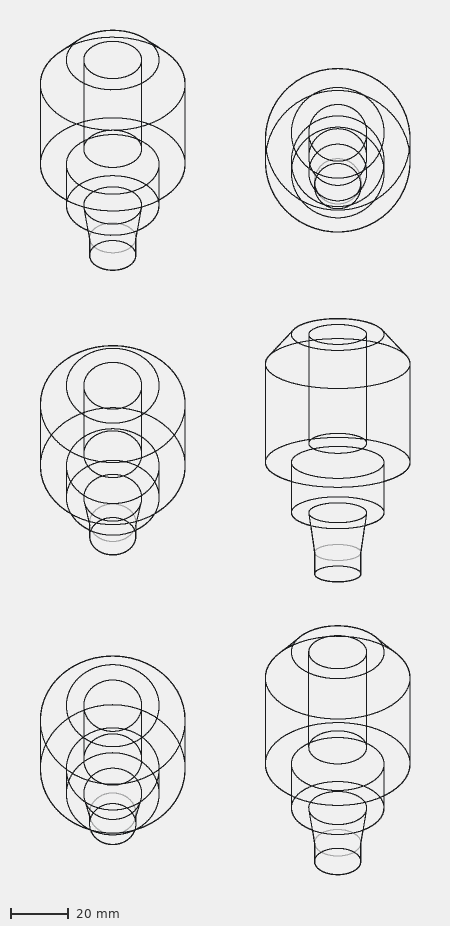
import cadquery as cq

head_diameter = 50.0
collar_diameter = 32.0
neck_diameter = 20.0
tip_diameter = 16.0
bore_diameter = 20.0

tip_length = 7.9
neck_length = 14.6
collar_length = 18.5
total_length = 88.0
cone_length = 10.7
bore_depth = 40.0

neck_bottom = tip_length
collar_bottom = neck_bottom + neck_length
head_bottom = collar_bottom + collar_length
cone_bottom = total_length - cone_length


def turned_body():
    """Solid body of revolution: tip, tapered neck, collar and cone-topped head."""
    profile = (
        cq.Workplane("XZ")
        .moveTo(0, 0)
        .lineTo(tip_diameter / 2, 0)
        .lineTo(tip_diameter / 2, neck_bottom)
        .lineTo(neck_diameter / 2, collar_bottom)
        .lineTo(collar_diameter / 2, collar_bottom)
        .lineTo(collar_diameter / 2, head_bottom)
        .lineTo(head_diameter / 2, head_bottom)
        .lineTo(head_diameter / 2, cone_bottom)
        .lineTo(collar_diameter / 2, total_length)
        .lineTo(0, total_length)
        .close()
    )
    return profile.revolve(360, (0, 0, 0), (0, 1, 0))


def bore():
    """Flat-bottomed blind bore, sunk from the top face."""
    return (
        cq.Workplane("XY")
        .workplane(offset=total_length - bore_depth)
        .circle(bore_diameter / 2)
        .extrude(bore_depth)
    )


result = turned_body().cut(bore())